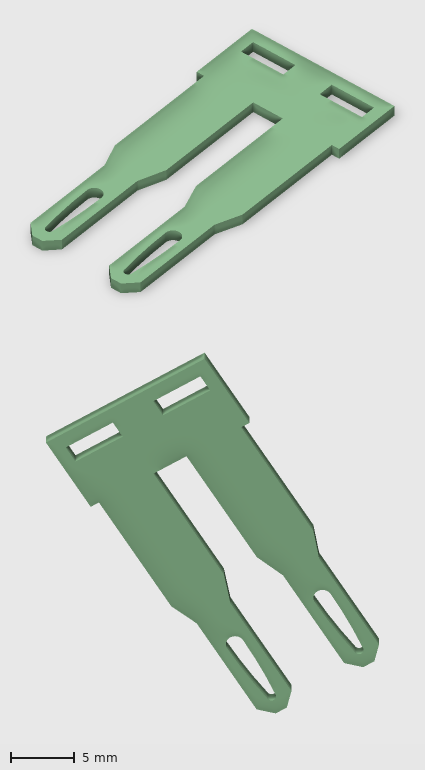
import cadquery as cq

length = 30.3
head_width = 14.6
thickness = 1.0
head_length = 6.8

prong_spacing = 8.05
shank_width = 5.03
blade_width = 3.2
outer_taper_start = 17.75
outer_taper_end = 20.12
inner_taper_start = 17.45
inner_taper_end = 19.95
tip_chamfer = 1.1

window_width = 4.33
window_height = 1.48
window_margin = 1.18

eye_top = 22.57
eye_bottom = 29.18
eye_top_radius = 0.73
eye_bottom_radius = 0.35
eye_side_bow = 0.1

top_y = length / 2
bottom_y = -length / 2
prong_x = prong_spacing / 2


def make_head():
    return (
        cq.Workplane("XY")
        .center(0, top_y - head_length / 2)
        .rect(head_width, head_length)
        .extrude(thickness)
    )


def make_prong():
    """Right-hand prong, with its outer side toward +X."""
    shank_half = shank_width / 2
    blade_half = blade_width / 2
    tip_half = blade_half - tip_chamfer
    root_y = top_y - head_length
    chamfer_y = bottom_y + tip_chamfer
    return (
        cq.Workplane("XY")
        .moveTo(prong_x - shank_half, root_y)
        .lineTo(prong_x - shank_half, top_y - inner_taper_start)
        .lineTo(prong_x - blade_half, top_y - inner_taper_end)
        .lineTo(prong_x - blade_half, chamfer_y)
        .lineTo(prong_x - tip_half, bottom_y)
        .lineTo(prong_x + tip_half, bottom_y)
        .lineTo(prong_x + blade_half, chamfer_y)
        .lineTo(prong_x + blade_half, top_y - outer_taper_end)
        .lineTo(prong_x + shank_half, top_y - outer_taper_start)
        .lineTo(prong_x + shank_half, root_y)
        .close()
        .extrude(thickness)
    )


def make_window():
    return (
        cq.Workplane("XY")
        .center(prong_x, top_y - window_margin - window_height / 2)
        .rect(window_width, window_height)
        .extrude(thickness)
    )


def make_eye():
    """Round-ended eye with outward-bowed sides."""
    wide_y = top_y - eye_top - eye_top_radius
    narrow_y = top_y - eye_bottom + eye_bottom_radius
    side_y = (wide_y + narrow_y) / 2
    side_half = (eye_top_radius + eye_bottom_radius) / 2 + eye_side_bow
    return (
        cq.Workplane("XY")
        .moveTo(prong_x - eye_top_radius, wide_y)
        .threePointArc((prong_x, top_y - eye_top), (prong_x + eye_top_radius, wide_y))
        .threePointArc((prong_x + side_half, side_y), (prong_x + eye_bottom_radius, narrow_y))
        .threePointArc((prong_x, top_y - eye_bottom), (prong_x - eye_bottom_radius, narrow_y))
        .threePointArc((prong_x - side_half, side_y), (prong_x - eye_top_radius, wide_y))
        .close()
        .extrude(thickness)
    )


right_prong = make_prong()
right_openings = make_window().union(make_eye())

result = (
    make_head()
    .union(right_prong)
    .union(right_prong.mirror("YZ"))
    .cut(right_openings)
    .cut(right_openings.mirror("YZ"))
)